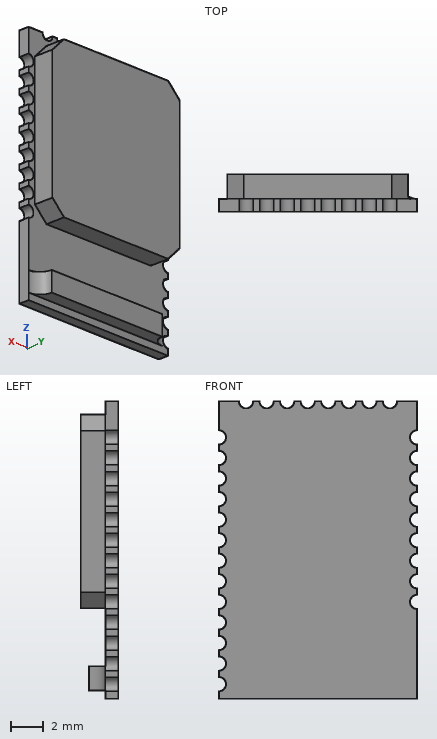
import cadquery as cq

board_width = 12.05
board_height = 18.1
board_thickness = 0.8

pad_radius = 0.425
pad_pitch = 1.25
left_pad_count = 13
right_pad_count = 9
top_pad_count = 8
first_side_pad_drop = 2.2

overall_thickness = 2.3
can_width = 11.0
can_height = 11.8
can_left_margin = 0.5
can_top_margin = 0.8
can_corner_chamfer = 1.0

antenna_rise = 1.0
antenna_height = 1.5
antenna_bottom_margin = 0.5
antenna_left_margin = can_left_margin

half_width = board_width / 2


def extruded(sketch, thickness):
    """Extrude an XZ outline toward +Y."""
    return sketch.extrude(-thickness)


def pad_centres():
    """Centres (X, Z) of the castellations on the left, right and top edges."""
    first_z = board_height - first_side_pad_drop
    first_x = -(top_pad_count - 1) * pad_pitch / 2
    left = [(-half_width, first_z - i * pad_pitch) for i in range(left_pad_count)]
    right = [(half_width, first_z - i * pad_pitch) for i in range(right_pad_count)]
    top = [(first_x + i * pad_pitch, board_height) for i in range(top_pad_count)]
    return left + right + top


def make_board():
    outline = cq.Workplane("XZ").rect(board_width, board_height)
    plate = extruded(outline, board_thickness).translate((0, 0, board_height / 2))
    pads = cq.Workplane("XZ").pushPoints(pad_centres()).circle(pad_radius)
    return plate.cut(extruded(pads, board_thickness))


def make_can():
    centre_x = -half_width + can_left_margin + can_width / 2
    centre_z = board_height - can_top_margin - can_height / 2
    outline = cq.Workplane("XZ").rect(can_width, can_height)
    block = extruded(outline, overall_thickness - board_thickness)
    block = block.edges("|Y").chamfer(can_corner_chamfer)
    return block.translate((centre_x, board_thickness, centre_z))


def make_antenna():
    left_foot_x = -half_width + antenna_left_margin
    right_foot_x = half_width
    crest_y = board_thickness + antenna_rise
    profile = (
        cq.Workplane("XY", origin=(0, 0, antenna_bottom_margin))
        .moveTo(left_foot_x, board_thickness)
        .radiusArc((left_foot_x + antenna_rise, crest_y), -antenna_rise)
        .lineTo(right_foot_x - antenna_rise, crest_y)
        .radiusArc((right_foot_x, board_thickness), -antenna_rise)
        .close()
    )
    return profile.extrude(antenna_height)


result = make_board().union(make_can()).union(make_antenna())